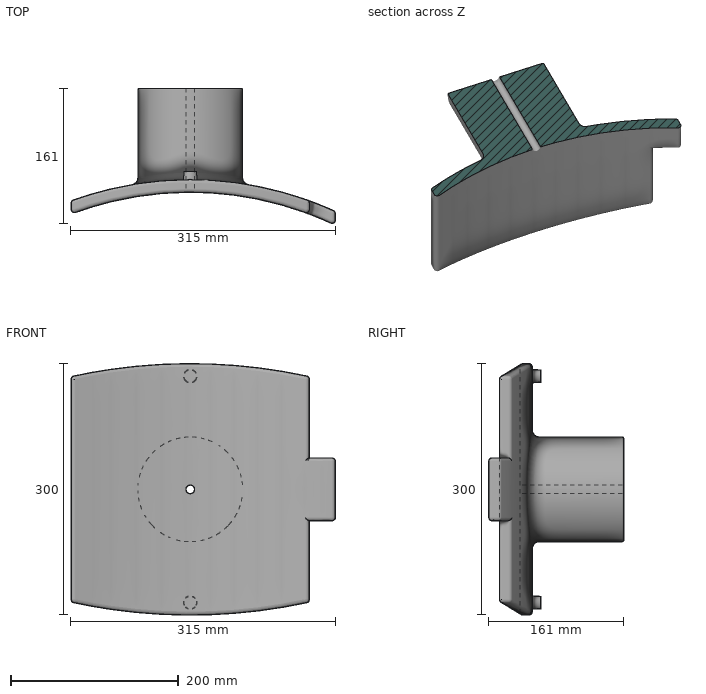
import cadquery as cq

plate_width = 284.0
plate_height = 300.0
plate_side_height = 269.0
plate_thickness = 15.0
front_radius = 400.0
back_radius = front_radius + plate_thickness
edge_fillet = 4.0

total_width = 315.0
tab_end_x = total_width - plate_width / 2
tab_height = 75.0
tab_root_x = plate_width / 4

boss_diameter = 125.0
boss_end_y = 124.0
boss_end_fillet = 2.0
boss_base_fillet = 8.0
hole_diameter = 10.0

pin_tip_diameter = 15.0
pin_base_diameter = 16.0
pin_length = 10.0
pin_offset = 135.0

root_y = plate_thickness / 2


def plane_facing_back(y, z=0.0):
    """Plane across the Y axis, with its normal towards +Y."""
    return cq.Plane(origin=(0, y, z), xDir=(1, 0, 0), normal=(0, 1, 0))


def bend(outline):
    """Give a closed XZ outline the curved thickness of the plate."""
    ring = cq.Workplane("XY", origin=(0, -front_radius, 0)).circle(back_radius).circle(front_radius)
    shell = ring.extrude(plate_height, both=True)
    prism = outline.extrude(front_radius / 2, both=True)
    return shell.intersect(prism)


def make_plate():
    half_width = plate_width / 2
    half_height = plate_height / 2
    corner_z = plate_side_height / 2
    outline = (
        cq.Workplane("XZ")
        .moveTo(-half_width, -corner_z)
        .threePointArc((0, -half_height), (half_width, -corner_z))
        .lineTo(half_width, corner_z)
        .threePointArc((0, half_height), (-half_width, corner_z))
        .close()
    )
    return bend(outline).edges().fillet(edge_fillet)


def make_tab():
    """Tab with a root that lies inside the plate; only the edges outside the root end are rounded."""
    half_height = tab_height / 2
    outline = (
        cq.Workplane("XZ")
        .moveTo(tab_root_x, -half_height)
        .lineTo(tab_end_x, -half_height)
        .lineTo(tab_end_x, half_height)
        .lineTo(tab_root_x, half_height)
        .close()
    )
    tab = bend(outline)
    root_edges = tab.faces("<X").edges().vals()
    free_edges = [e for e in tab.edges().vals() if not any(e.isSame(r) for r in root_edges)]
    return tab.newObject(free_edges).fillet(edge_fillet)


def add_boss(body):
    boss = cq.Workplane(plane_facing_back(root_y)).circle(boss_diameter / 2).extrude(boss_end_y - root_y)
    boss = boss.faces(">Y").edges().fillet(boss_end_fillet)
    body = body.union(boss)
    reach = boss_diameter / 2
    base = cq.selectors.BoxSelector((-reach, 0, -reach), (reach, plate_thickness, reach))
    return body.edges(base).fillet(boss_base_fillet)


def make_pin(z):
    """Cone frustum that narrows from the back of the plate to the tip, with a straight root."""
    root = cq.Workplane(plane_facing_back(root_y, z)).circle(pin_base_diameter / 2)
    root = root.extrude(plate_thickness - root_y)
    taper = (
        cq.Workplane(plane_facing_back(plate_thickness, z))
        .circle(pin_base_diameter / 2)
        .workplane(offset=pin_length)
        .circle(pin_tip_diameter / 2)
        .loft()
    )
    return root.union(taper)


def make_hole():
    """Cylinder along Y, long enough to pass through the plate and the boss."""
    return cq.Workplane(plane_facing_back(0)).circle(hole_diameter / 2).extrude(2 * boss_end_y, both=True)


result = add_boss(make_plate())
result = result.union(make_tab())
for pin_z in (-pin_offset, pin_offset):
    result = result.union(make_pin(pin_z))
result = result.cut(make_hole())